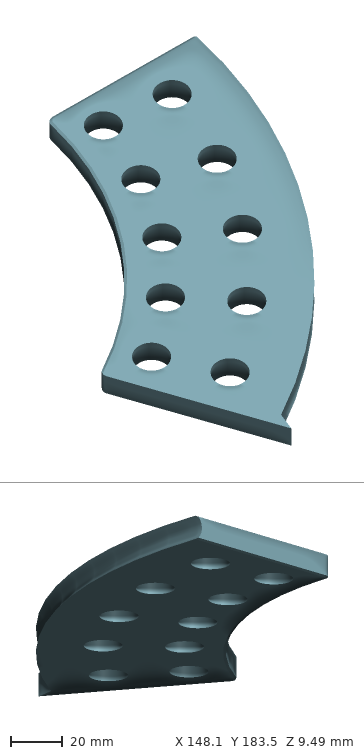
import cadquery as cq
import math

SECTOR_ANGLE = 60.0
THICKNESS = 9.49
INNER_RADIUS = 139.1
OUTER_RADIUS = 212.55
CORNER_RADIUS = 3.2
CHAMFER_WIDTH = 1.1
CHAMFER_HEIGHT = 0.5

SPUR_TIP_RADIUS = 218.84
SPUR_HEIGHT = 5.4

GROOVE_DEPTH = 2.6

HOLE_DIAMETER = 15.1
HOLE_ROW_RADII = (155.25, 186.75)
HOLES_PER_ROW = 5
HOLE_PITCH_ANGLE = SECTOR_ANGLE / HOLES_PER_ROW

HALF_THICKNESS = THICKNESS / 2
SPUR_ANGLE = math.degrees(math.asin(SPUR_HEIGHT / OUTER_RADIUS))


def polar(radius, angle):
    """Point at a radius and an angle in degrees about the arc centre."""
    return (radius * math.cos(math.radians(angle)), radius * math.sin(math.radians(angle)))


def make_sector():
    """Flat ring sector with its spur, centred on the XY plane."""
    mid_angle = SECTOR_ANGLE / 2
    return (
        cq.Workplane("XY")
        .workplane(offset=-HALF_THICKNESS)
        .moveTo(*polar(INNER_RADIUS, 0))
        .lineTo(*polar(SPUR_TIP_RADIUS, 0))
        .lineTo(*polar(OUTER_RADIUS, SPUR_ANGLE))
        .threePointArc(polar(OUTER_RADIUS, mid_angle), polar(OUTER_RADIUS, SECTOR_ANGLE))
        .lineTo(*polar(INNER_RADIUS, SECTOR_ANGLE))
        .threePointArc(polar(INNER_RADIUS, mid_angle), polar(INNER_RADIUS, 0))
        .close()
        .extrude(THICKNESS)
    )


def round_inner_corner(plate, angle):
    """Round the upright corner where the inner arc meets the end face at an angle."""
    corner = cq.selectors.NearestToPointSelector((*polar(INNER_RADIUS, angle), 0))
    return plate.edges("|Z").edges(corner).fillet(CORNER_RADIUS)


def chamfer_inner_and_end_edges(plate):
    """Chamfer the top and bottom edges of the inner arc and of the slanted end."""
    x, y = polar(INNER_RADIUS, SECTOR_ANGLE / 2)
    edges = []
    for z in (-HALF_THICKNESS, HALF_THICKNESS):
        edges += plate.edges(cq.selectors.NearestToPointSelector((x, y, z))).vals()
    return plate.newObject(edges).chamfer(CHAMFER_WIDTH, CHAMFER_HEIGHT)


def make_rim_groove():
    """Round bar swept along the outer rim, from the spur to the slanted end."""
    bar_radius = (HALF_THICKNESS**2 + GROOVE_DEPTH**2) / (2 * GROOVE_DEPTH)
    path_radius = OUTER_RADIUS - GROOVE_DEPTH + bar_radius
    return (
        cq.Workplane("XZ")
        .center(path_radius, 0)
        .circle(bar_radius)
        .revolve(SECTOR_ANGLE, (-path_radius, 0), (-path_radius, 1))
        .rotate((0, 0, 0), (0, 0, 1), SPUR_ANGLE)
    )


def make_holes():
    """Cylinders for every hole, spaced evenly in angle along both rows."""
    points = []
    for row_radius in HOLE_ROW_RADII:
        for index in range(HOLES_PER_ROW):
            points.append(polar(row_radius, (index + 0.5) * HOLE_PITCH_ANGLE))
    return (
        cq.Workplane("XY")
        .workplane(offset=-HALF_THICKNESS)
        .pushPoints(points)
        .circle(HOLE_DIAMETER / 2)
        .extrude(THICKNESS)
    )


plate = round_inner_corner(make_sector(), SECTOR_ANGLE)
plate = chamfer_inner_and_end_edges(plate)
plate = round_inner_corner(plate, 0)
result = plate.cut(make_rim_groove()).cut(make_holes())